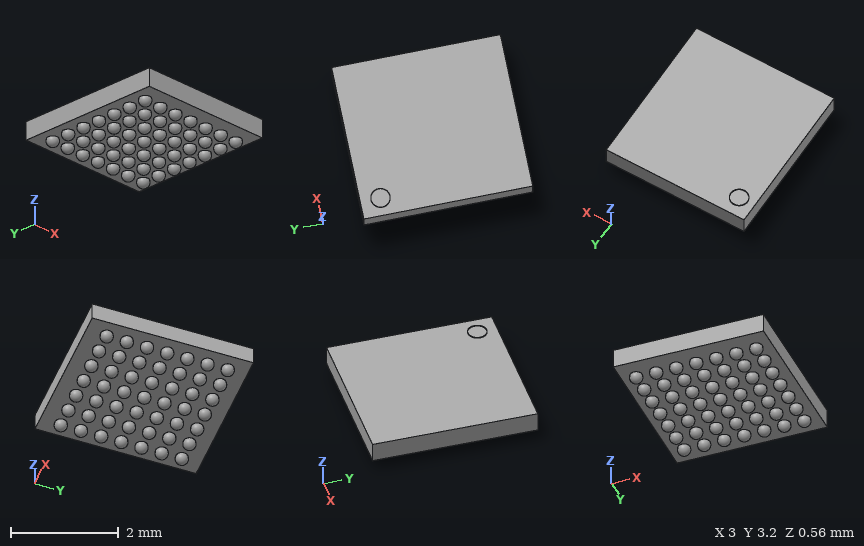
import cadquery as cq

body_width = 3.0
body_length = 3.2
overall_height = 0.56

balls_per_side = 7
ball_pitch = 0.4
ball_radius = 0.125
ball_drop = 0.17
ball_center_z = ball_radius - ball_drop
body_height = overall_height - ball_drop

mark_diameter = 0.36
mark_depth = 0.015
mark_from_left = 0.342
mark_from_back = 0.385


def make_body():
    return cq.Workplane("XY").box(
        body_width, body_length, body_height, centered=(True, True, False)
    )


def make_balls():
    """Spheres cut flat where they meet the underside of the body."""
    ball = cq.Workplane("XY").sphere(ball_radius).translate((0, 0, ball_center_z))
    below_body = cq.Workplane("XY").box(
        2 * ball_radius, 2 * ball_radius, ball_drop, centered=(True, True, False)
    ).translate((0, 0, -ball_drop))
    cut_ball = ball.intersect(below_body).val()
    return (
        cq.Workplane("XY")
        .rarray(ball_pitch, ball_pitch, balls_per_side, balls_per_side)
        .eachpoint(lambda location: cut_ball.moved(location))
    )


def make_mark():
    """Cutter for the pin-one recess in the top face."""
    mark_x = mark_from_left - body_width / 2
    mark_y = body_length / 2 - mark_from_back
    return (
        cq.Workplane("XY", origin=(0, 0, body_height - mark_depth))
        .center(mark_x, mark_y)
        .circle(mark_diameter / 2)
        .extrude(mark_depth)
    )


result = make_body().union(make_balls()).cut(make_mark())